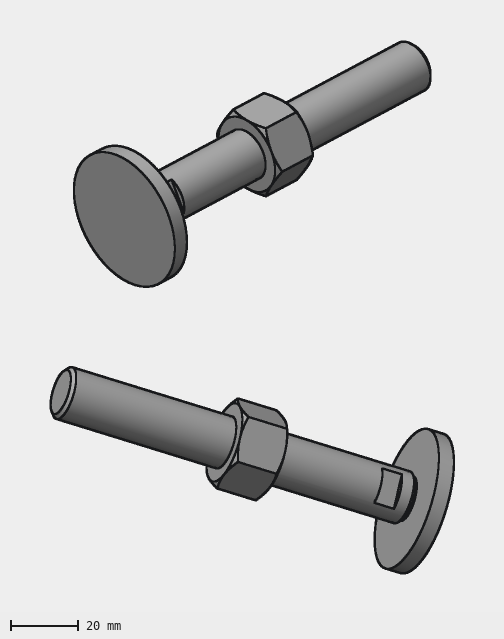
import cadquery as cq
import math

total_length = 118.5

plate_diameter = 43.0
plate_thickness = 5.0

rod_diameter = 16.0
rod_chamfer = 1.2
neck_diameter = rod_diameter - 2 * rod_chamfer
neck_length = 0.4

flats_start = 10.4
flats_length = 6.4
flats_width = 12.0
flats_angle = 30.0

nut_start = 50.0
nut_height = 14.8
nut_across_flats = 24.0
nut_across_corners = nut_across_flats / math.cos(math.radians(30))
nut_face_diameter = nut_across_flats
nut_chamfer_angle = 30.0


def plane_at(y):
    """Plane across the axis, with local x along X, local y along Z and normal along -Y."""
    return cq.Workplane("XZ", origin=(0, y, 0))


def along_y(sketch, length):
    """Extrude a sketch towards +Y."""
    return sketch.extrude(-length)


def make_plate():
    return along_y(plane_at(0).circle(plate_diameter / 2), plate_thickness)


def make_rod():
    shank_start = plate_thickness + neck_length
    neck = along_y(plane_at(plate_thickness).circle(neck_diameter / 2), neck_length)
    shank = along_y(plane_at(shank_start).circle(rod_diameter / 2), total_length - shank_start)
    shank = shank.faces("<Y or >Y").chamfer(rod_chamfer)

    ring = along_y(plane_at(flats_start).circle(rod_diameter), flats_length)
    slab = along_y(
        plane_at(flats_start).transformed(rotate=(0, 0, flats_angle)).rect(flats_width, 2 * rod_diameter),
        flats_length,
    )
    return neck.union(shank).cut(ring.cut(slab))


def make_nut():
    hexagon = along_y(plane_at(nut_start).polygon(6, nut_across_corners), nut_height)

    corner_radius = nut_across_corners / 2
    face_radius = nut_face_diameter / 2
    bevel_height = (corner_radius - face_radius) * math.tan(math.radians(nut_chamfer_angle))
    nut_end = nut_start + nut_height
    turned_blank = (
        cq.Workplane("XY")
        .moveTo(0, nut_start)
        .lineTo(face_radius, nut_start)
        .lineTo(corner_radius, nut_start + bevel_height)
        .lineTo(corner_radius, nut_end - bevel_height)
        .lineTo(face_radius, nut_end)
        .lineTo(0, nut_end)
        .close()
        .revolve(360, (0, 0, 0), (0, 1, 0))
    )
    bore = along_y(plane_at(nut_start).circle(rod_diameter / 2), nut_height)
    return hexagon.intersect(turned_blank).cut(bore)


plate = make_plate()
rod = make_rod()
nut = make_nut()

result = cq.Compound.makeCompound([plate.val(), rod.val(), nut.val()])